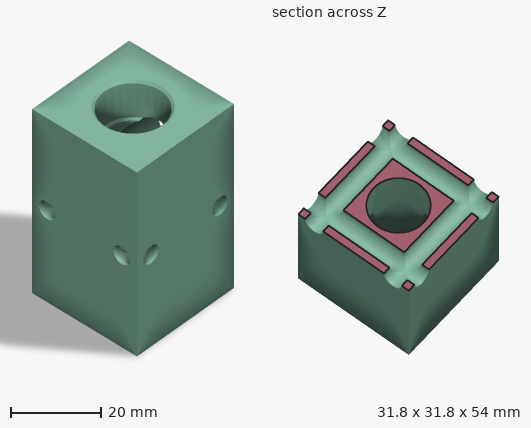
import cadquery as cq

side = 31.75
height = 54.0

bore_diameter = 14.2
socket_mouth_diameter = 17.2
socket_floor_diameter = 16.5
socket_depth = 10.2
chamfer_diameter = 18.45
chamfer_depth = (chamfer_diameter - socket_mouth_diameter) / 2

port_diameter = 14.2
port_height = 37.75

mount_diameter = 5.1
mount_spacing = 22.55
mount_height = height / 2


def passage():
    """Revolved shape of the bore, socket and entry chamfer."""
    floor_z = height - socket_depth
    mouth_z = height - chamfer_depth
    return (
        cq.Workplane("XZ")
        .moveTo(0, 0)
        .lineTo(bore_diameter / 2, 0)
        .lineTo(bore_diameter / 2, floor_z)
        .lineTo(socket_floor_diameter / 2, floor_z)
        .lineTo(socket_mouth_diameter / 2, mouth_z)
        .lineTo(chamfer_diameter / 2, height)
        .lineTo(0, height)
        .close()
        .revolve(360, (0, 0, 0), (0, 1, 0))
    )


def side_port():
    """Cylinder from the vertical axis out through the +Y face."""
    return (
        cq.Workplane("XZ")
        .center(0, port_height)
        .circle(port_diameter / 2)
        .extrude(-side / 2)
    )


def mounting_holes(plane):
    """Pair of cylinders running right through the block."""
    offset = mount_spacing / 2
    return (
        cq.Workplane(plane)
        .pushPoints([(-offset, mount_height), (offset, mount_height)])
        .circle(mount_diameter / 2)
        .extrude(side / 2, both=True)
    )


result = cq.Workplane("XY").box(side, side, height, centered=(True, True, False))
result = result.cut(passage()).cut(side_port())
for plane in ("XZ", "YZ"):
    result = result.cut(mounting_holes(plane))